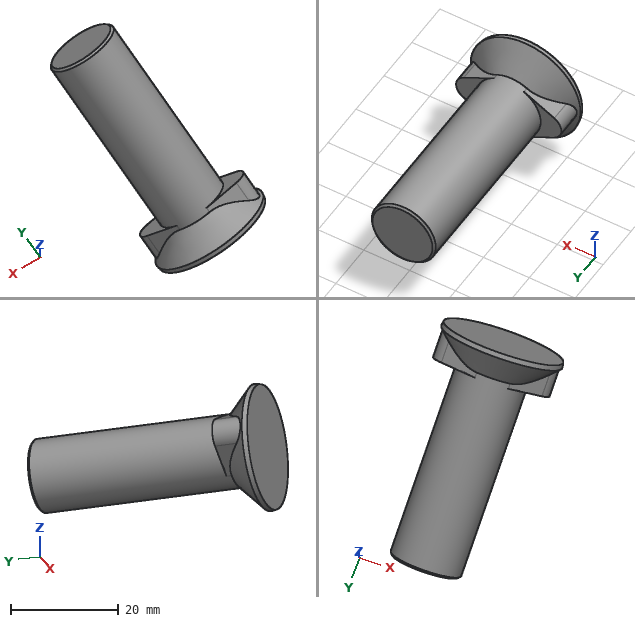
import cadquery as cq
import math

total_length = 45.0
head_diameter = 24.0
shank_diameter = 14.0
rim_height = 1.0
rim_taper = 0.2
tip_chamfer = 0.45
wing_span = 23.0
wing_tip_radius = 3.0
wing_top = 7.0

head_radius = head_diameter / 2
shank_radius = shank_diameter / 2
cone_top = rim_height + head_radius - shank_radius


def revolved_body():
    """Flat head, 45 degree cone and chamfered shank in one revolve about Y."""
    return (
        cq.Workplane("XY")
        .moveTo(0, 0)
        .lineTo(head_radius - rim_taper, 0)
        .lineTo(head_radius, rim_height)
        .lineTo(shank_radius, cone_top)
        .lineTo(shank_radius, total_length - tip_chamfer)
        .lineTo(shank_radius - tip_chamfer, total_length)
        .lineTo(0, total_length)
        .close()
        .revolve(360, (0, 0, 0), (0, 1, 0))
    )


def wings():
    """Two opposed wings with rounded tips, their flanks tangent to the shank."""
    tip_center = wing_span / 2 - wing_tip_radius
    tangent_angle = math.acos((shank_radius - wing_tip_radius) / tip_center)
    across = math.cos(tangent_angle)
    up = math.sin(tangent_angle)
    root_x = shank_radius * across
    root_z = shank_radius * up
    end_x = tip_center + wing_tip_radius * across
    end_z = wing_tip_radius * up
    half_span = wing_span / 2

    return (
        cq.Workplane("XZ", origin=(0, rim_height, 0))
        .moveTo(root_x, root_z)
        .lineTo(end_x, end_z)
        .threePointArc((half_span, 0), (end_x, -end_z))
        .lineTo(root_x, -root_z)
        .threePointArc((0, -shank_radius), (-root_x, -root_z))
        .lineTo(-end_x, -end_z)
        .threePointArc((-half_span, 0), (-end_x, end_z))
        .lineTo(-root_x, root_z)
        .threePointArc((0, shank_radius), (root_x, root_z))
        .close()
        .extrude(rim_height - wing_top)
    )


result = revolved_body().union(wings())